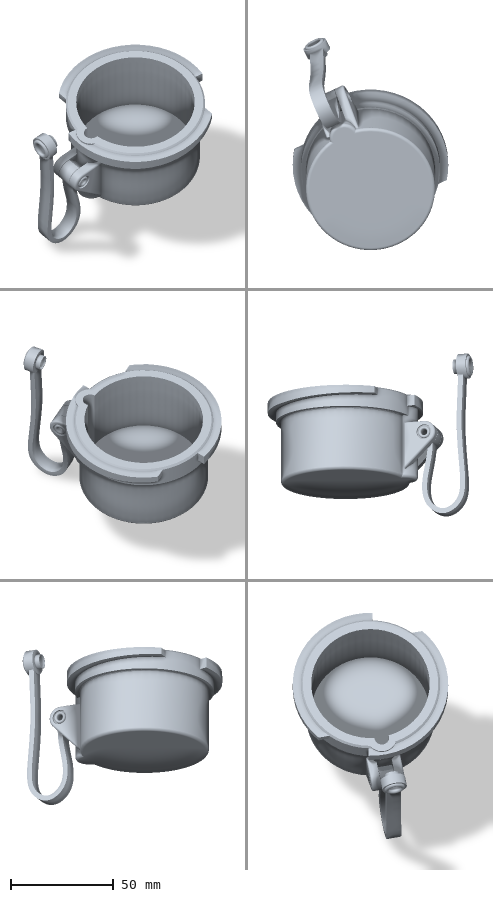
import cadquery as cq
import math

overall_length = 101.3

cup_height = 41.5
body_radius = 31.4
bore_radius = 28.9
floor_thickness = 6.6
bottom_fillet = 1.5

collar_radius = 33.9
collar_bottom = 31.0
collar_chamfer = 0.9
collar_underside_fillet = 0.5

ear_radius = 37.9
ear_top = cup_height - collar_chamfer
ear_bottom = 35.4
ear_thick_end_angle = 77.7
ear_thin_end_y = -23.0
ear_thin_end_bottom = 37.3
ear_ramp_start_y = 23.3

key_y = -29.3
groove_radius = 3.5
boss_radius = 7.1

pivot_y = -41.8
pivot_z = 21.7
lug_radius = 5.6
lug_half_span = 8.3
lug_edge_fillet = 0.9
lug_clearance = 0.2
left_lug_root_y = -32.0
right_lug_root_y = -29.8
pin_radius = 3.6
pin_recess_depth = 1.0
pin_lip_radius = 2.9
pin_hole_radius = 1.5
knuckle_flat_distance = 4.8

strap_width = 7.1
strap_thickness = 2.5
strap_path = [
    (-43.6, 18.2),
    (-43.6, 14.0),
    (-42.9, 8.9),
    (-41.9, 4.0),
    (-40.9, -4.6),
    (-42.8, -12.6),
    (-50.2, -17.3),
    (-58.1, -12.6),
    (-60.1, -4.6),
    (-59.7, 4.0),
    (-58.3, 26.3),
    (-58.7, 40.5),
    (-59.1, 50.6),
]

plug_z = 55.3
plug_tip_y = ear_radius - overall_length
plug_lip_height = 1.1
plug_lip_radius = 5.1
plug_head_radius = 6.1
plug_head_length = 4.9
plug_stub_radius = 3.5
plug_stub_length = 2.4
plug_hole_radius = 3.1


def disc(radius, bottom, top):
    return cq.Workplane("XY").workplane(offset=bottom).circle(radius).extrude(top - bottom)


def x_cylinder(radius, x_start, x_end):
    """Cylinder on the hinge pivot axis."""
    plane = cq.Workplane("YZ").workplane(offset=x_start)
    return plane.center(pivot_y, pivot_z).circle(radius).extrude(x_end - x_start)


def rounded_lip(inner_radius, outer_radius, height):
    """Ring standing on Z = 0 with a fully rounded top edge."""
    half_thickness = (outer_radius - inner_radius) / 2
    shoulder = height - half_thickness
    return (
        cq.Workplane("XZ")
        .moveTo(inner_radius, 0)
        .lineTo(outer_radius, 0)
        .lineTo(outer_radius, shoulder)
        .threePointArc((inner_radius + half_thickness, height), (inner_radius, shoulder))
        .close()
        .revolve(360, (0, 0, 0), (0, 1, 0))
    )


def make_cup():
    body = disc(body_radius, 0, cup_height)
    collar = disc(collar_radius, collar_bottom, cup_height).faces(">Z").chamfer(collar_chamfer)
    boss = disc(boss_radius, 0, cup_height).translate((0, key_y, 0))
    flanged_body = body.union(collar)
    underside = flanged_body.faces("<Z[1]")
    junction = underside.edges(cq.selectors.RadiusNthSelector(0))
    flanged_body = junction.fillet(collar_underside_fillet)
    return flanged_body.union(boss).faces("<Z").edges().fillet(bottom_fillet)


def make_ear():
    """Flat-topped ear with a level underside that ramps up toward its thin end."""
    reach = 2 * ear_radius
    end_angle = math.radians(ear_thick_end_angle)
    sector = (
        cq.Workplane("XY")
        .workplane(offset=ear_bottom)
        .polyline([
            (0, 0),
            (reach * math.cos(end_angle), reach * math.sin(end_angle)),
            (-reach, reach),
            (-reach, ear_thin_end_y),
            (0, ear_thin_end_y),
        ])
        .close()
        .extrude(ear_top - ear_bottom)
    )
    ramp = (
        cq.Workplane("YZ")
        .polyline([
            (ear_ramp_start_y, ear_bottom),
            (ear_thin_end_y, ear_thin_end_bottom),
            (ear_thin_end_y, ear_bottom),
        ])
        .close()
        .extrude(-reach)
    )
    return disc(ear_radius, ear_bottom, ear_top).intersect(sector).cut(ramp)


def make_lug(side, root_y):
    """Lug with a flat top, a round nose and a 45 degree underside; side is -1 or +1 along X."""
    diagonal = lug_radius * math.sqrt(0.5)
    tangent_y = pivot_y - diagonal
    tangent_z = pivot_z - diagonal
    root_z = tangent_z - (root_y - tangent_y)
    inner_x = strap_width / 2 + lug_clearance
    lug = (
        cq.Workplane("YZ")
        .workplane(offset=side * inner_x)
        .moveTo(root_y, pivot_z + lug_radius)
        .lineTo(pivot_y, pivot_z + lug_radius)
        .threePointArc((pivot_y - lug_radius, pivot_z), (tangent_y, tangent_z))
        .lineTo(root_y, root_z)
        .close()
        .extrude(side * (lug_half_span - inner_x))
    )
    outer_face = lug.faces(">X" if side > 0 else "<X")
    return outer_face.edges("not(>Y)").fillet(lug_edge_fillet)


def make_knuckle():
    """Strap knuckle, with a 45 degree flat on the upper quarter that faces the cup."""
    half_width = strap_width / 2
    knuckle = x_cylinder(lug_radius, -half_width, half_width)
    flat_cutter = (
        cq.Workplane("XY")
        .box(strap_width, 2 * lug_radius, lug_radius, centered=(True, True, False))
        .translate((0, 0, knuckle_flat_distance))
        .rotate((0, 0, 0), (1, 0, 0), -45)
        .translate((0, pivot_y, pivot_z))
    )
    return knuckle.cut(flat_cutter)


def make_hinge():
    recess_floor = lug_half_span - pin_recess_depth
    pin = x_cylinder(pin_radius, -recess_floor, recess_floor)
    hinge = make_knuckle().union(pin)
    pin_lip = rounded_lip(pin_hole_radius, pin_lip_radius, pin_recess_depth)
    for side, root_y in ((-1, left_lug_root_y), (1, right_lug_root_y)):
        recess = x_cylinder(pin_radius, side * recess_floor, side * lug_half_span)
        placed_lip = pin_lip.rotate((0, 0, 0), (0, 1, 0), side * 90)
        placed_lip = placed_lip.translate((side * recess_floor, pivot_y, pivot_z))
        hinge = hinge.union(make_lug(side, root_y).cut(recess)).union(placed_lip)
    return hinge.cut(x_cylinder(pin_hole_radius, -lug_half_span, lug_half_span))


def make_strap():
    """Flat strap swept from inside the knuckle, round the loop and up into the plug."""
    path = cq.Workplane("YZ").spline(strap_path)
    start_y, start_z = strap_path[0]
    section = cq.Workplane(cq.Plane(
        origin=(0, start_y, start_z),
        xDir=(1, 0, 0),
        normal=path.val().tangentAt(0).toTuple(),
    ))
    return section.rect(strap_width, strap_thickness).sweep(path)


def plug_cylinder(radius, y_start, length):
    """Cylinder on the plug axis, running from y_start toward +Y."""
    plane = cq.Workplane("XZ", origin=(0, y_start, plug_z))
    return plane.circle(radius).extrude(-length)


def make_plug():
    head_y = plug_tip_y + plug_lip_height
    stub_y = head_y + plug_head_length
    lip = rounded_lip(plug_hole_radius, plug_lip_radius, plug_lip_height)
    lip = lip.rotate((0, 0, 0), (1, 0, 0), 90).translate((0, head_y, plug_z))
    head = plug_cylinder(plug_head_radius, head_y, plug_head_length)
    stub = plug_cylinder(plug_stub_radius, stub_y, plug_stub_length)
    return head.union(stub).union(lip)


ear = make_ear()
cup = make_cup().union(ear).union(ear.rotate((0, 0, 0), (0, 0, 1), 180)).union(make_hinge())

bore = disc(bore_radius, floor_thickness, cup_height)
groove = disc(groove_radius, floor_thickness, cup_height).translate((0, key_y, 0))
cup = cup.cut(bore.union(groove))

plug_length = plug_lip_height + plug_head_length + plug_stub_length
plug_hole = plug_cylinder(plug_hole_radius, plug_tip_y, plug_length)
tether = make_strap().union(make_plug()).cut(plug_hole)

result = cup.union(tether)